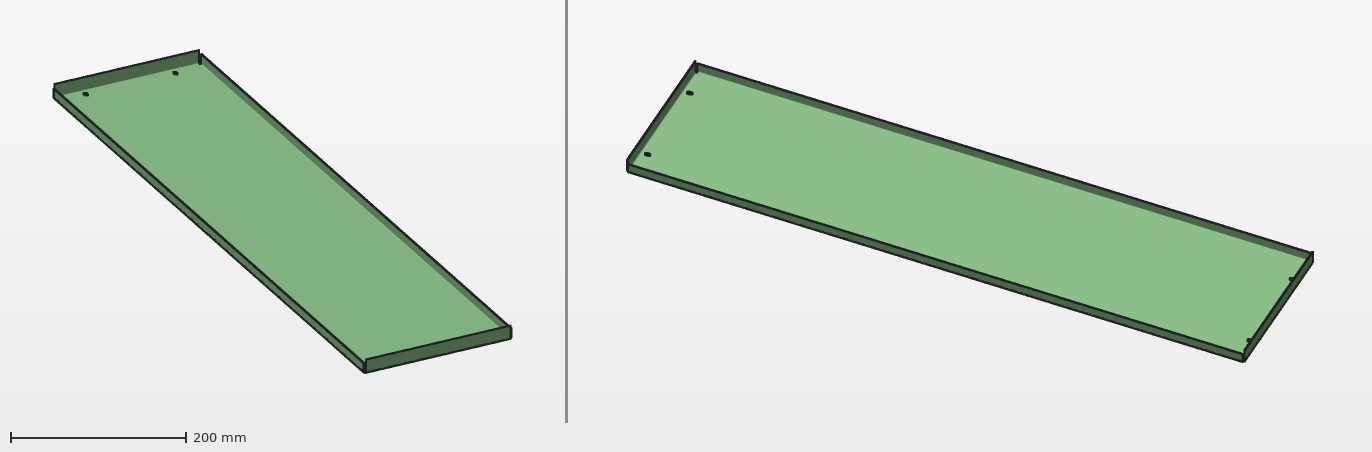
import cadquery as cq

length = 776.0
width = 190.0
end_wall_height = 18.0
side_wall_height = 13.0
thickness = 1.2
bend_radius = 2.0

slot_length = 7.0
slot_width = 4.0
slot_spacing_x = 756.5
slot_spacing_y = 115.0

side_wall_length = length - 2 * bend_radius
end_wall_length = width - 2 * bend_radius


def round_bottomed_block(span, height, run, floor_height, radius):
    """Block running along X, with its two lower long edges rounded."""
    return (
        cq.Workplane("XY")
        .workplane(offset=floor_height)
        .box(run, span, height - floor_height, centered=(True, True, False))
        .edges("|X and <Z")
        .fillet(radius)
    )


def channel(span, height, run):
    """Sheet channel running along X: a floor with a folded-up wall on each side."""
    outside = round_bottomed_block(span, height, run, 0, bend_radius)
    inside = round_bottomed_block(
        span - 2 * thickness, height, run, thickness, bend_radius - thickness
    )
    return outside.cut(inside)


side_channel = channel(width, side_wall_height, side_wall_length)
end_channel = channel(length, end_wall_height, end_wall_length).rotate((0, 0, 0), (0, 0, 1), 90)
tray = side_channel.union(end_channel).clean()

slots = (
    cq.Workplane("XY")
    .rarray(slot_spacing_x, slot_spacing_y, 2, 2)
    .slot2D(slot_length, slot_width)
    .extrude(thickness)
)

result = tray.cut(slots)